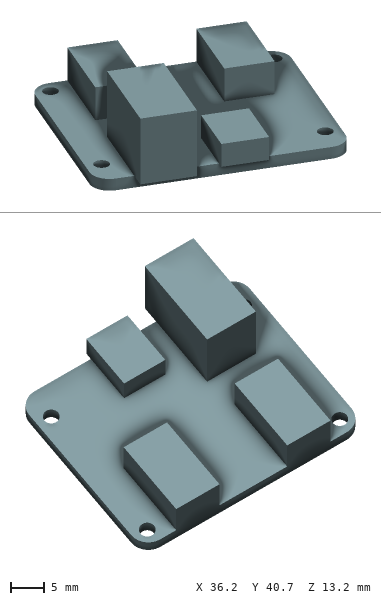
import cadquery as cq

board_length = 33.25
board_width = 40.71
board_thickness = 2.0
corner_radius = 3.175

hole_diameter = 2.54
hole_spacing_x = 25.4
hole_spacing_y = 35.56
hole_inset_x = 2.6
hole_inset_y = (board_width - hole_spacing_y) / 2

connector_length = 13.9
connector_width = 8.0
connector_height = 5.6
connector_spacing = 20.5
front_connector_y = 6.1

tall_socket_length = 16.5
tall_socket_width = 9.0
tall_socket_height = 11.2
tall_socket_overhang = 3.0
tall_socket_y = front_connector_y

low_socket_length = 10.0
low_socket_width = 7.6
low_socket_height = 3.9
low_socket_overhang = 1.2
low_socket_y = 19.55


def make_board():
    """Plate with rounded corners and four through holes."""
    plate = cq.Workplane("XY").box(board_length, board_width, board_thickness, centered=False)
    plate = plate.edges("|Z").fillet(corner_radius)
    hole_centers = [
        (x, y)
        for x in (hole_inset_x, hole_inset_x + hole_spacing_x)
        for y in (hole_inset_y, hole_inset_y + hole_spacing_y)
    ]
    holes = (
        cq.Workplane("XY")
        .pushPoints(hole_centers)
        .circle(hole_diameter / 2)
        .extrude(board_thickness)
    )
    return plate.cut(holes)


def make_block(x, y, length, width, height):
    """Block standing on the board, with its lower left corner at (x, y)."""
    block = cq.Workplane("XY").box(length, width, height, centered=False)
    return block.translate((x, y, board_thickness))


def make_right_socket(y, length, width, height, overhang):
    """Block whose right end reaches past the right edge of the board."""
    x = board_length + overhang - length
    return make_block(x, y, length, width, height)


tall_socket = make_right_socket(
    tall_socket_y, tall_socket_length, tall_socket_width, tall_socket_height, tall_socket_overhang
)
low_socket = make_right_socket(
    low_socket_y, low_socket_length, low_socket_width, low_socket_height, low_socket_overhang
)
result = make_board().union(tall_socket).union(low_socket)

for connector_y in (front_connector_y, front_connector_y + connector_spacing):
    connector = make_block(0, connector_y, connector_length, connector_width, connector_height)
    result = result.union(connector, clean=False)